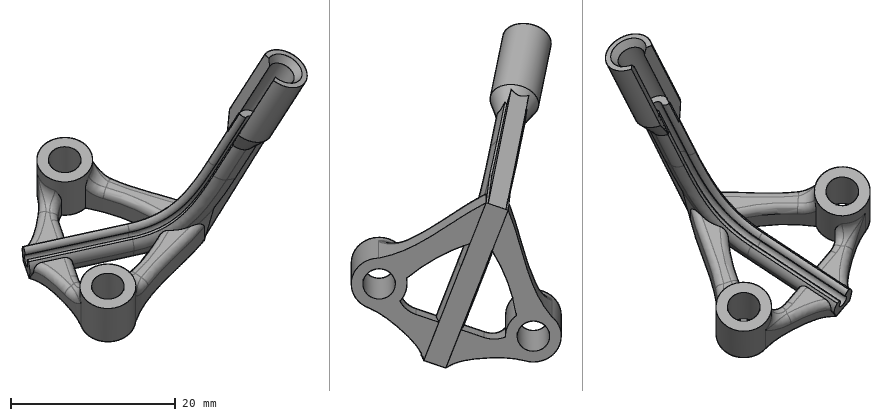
import cadquery as cq
import math

boss_spacing = 20.0
boss_diameter = 6.8
boss_hole_diameter = 3.95
boss_height = 6.75
front_leg_height = 2.75
rear_leg_height = 3.75
leg_edge_radius = 1.0
boss_flare_radius = 2.0

front_outer_start = (10.3, -3.384)
front_outer_start_direction = (-1, -0.07)
front_outer_points = [(6.57, -4.28), (4.08, -5.4)]
front_outer_end_direction = (-0.55, -0.83)
front_inner_y = -2.22
front_inner_arc_x = 4.4
front_inner_end = (7.0, -1.1)
rear_outer_start = (11.6, 2.95)
rear_outer_points = [(8.33, 5.53), (5.12, 9.57)]
rear_inner_y = 8.8
rear_inner_middle = (4.6, 5.6)
rear_inner_end = (7.4, 1.3)

front_end_y = -7.6
bend_start_y = 5.53
foot_y = 14.5
tilt_angle = 25.0
channel_height = 1.72
channel_diameter = 1.47
channel_slot_width = 0.94
head_radius = 1.79
lip_height = 1.34
head_taper_start = -0.3
head_taper_end = -1.6
keel_width = 2.86
keel_top_y = 15.65
keel_top_z = 5.8
rear_rib_width = 2.3
rib_depth_at_socket = 2.5
bend_start_handle = 6.08
bend_end_handle = 6.45

socket_top_y = 25.04
socket_top_z = 29.23
socket_diameter = 6.0
socket_length = 10.5
cone_length = 2.9
bore_diameter = 3.4
bore_depth = 10.0
bore_mouth_diameter = 4.6
bore_mouth_depth = 1.0
mouth_slot_inner_width = 2.0
mouth_slot_outer_width = 4.08
mouth_slot_outer_height = 2.2
bend_end_to_socket_top = 19.2

tolerance = 0.01
boss_x = boss_spacing / 2
boss_radius = boss_diameter / 2
keel_half = keel_width / 2
rear_rib_half = rear_rib_width / 2
lip_x = math.sqrt(head_radius**2 - lip_height**2)
lip_edge_radius = lip_x - channel_slot_width / 2
tilt = math.radians(tilt_angle)
axis_y = math.sin(tilt)
axis_z = math.cos(tilt)


def socket_axis_point(distance_below_top):
    """Point (y, z) on the tilted socket axis."""
    return (
        socket_top_y - distance_below_top * axis_y,
        socket_top_z - distance_below_top * axis_z,
    )


def socket_plane(distance_below_top):
    """Plane across the socket axis: local +Y points to the open side, local +Z up the axis."""
    y, z = socket_axis_point(distance_below_top)
    return cq.Plane(origin=(0, y, z), xDir=(-1, 0, 0), normal=(0, axis_y, axis_z))


def arm_path():
    """Channel centre line: level run, bend, then a straight run up to the bore floor."""
    start = cq.Vector(0, front_end_y, channel_height)
    bend_start = cq.Vector(0, bend_start_y, channel_height)
    bend_end = cq.Vector(0, *socket_axis_point(bend_end_to_socket_top))
    end = cq.Vector(0, *socket_axis_point(bore_depth))
    handles = [
        bend_start + cq.Vector(0, bend_start_handle, 0),
        bend_end - cq.Vector(0, axis_y, axis_z) * bend_end_handle,
    ]
    bend = cq.Edge.makeBezier([bend_start, *handles, bend_end])
    edges = [cq.Edge.makeLine(start, bend_start), bend, cq.Edge.makeLine(bend_end, end)]
    return cq.Workplane("XY").newObject([cq.Wire.assembleEdges(edges)])


def section_plane():
    """Plane of the front end: local X is +X and local Y is +Z, origin on the channel centre."""
    return cq.Workplane("XZ", origin=(0, front_end_y, channel_height))


def arm_head():
    """Round-topped strip with tapered flanks and a flat top."""
    flank_x = math.sqrt(head_radius**2 - head_taper_start**2)
    section = (
        section_plane()
        .moveTo(-keel_half, head_taper_end)
        .lineTo(-flank_x, head_taper_start)
        .threePointArc((-head_radius, 0), (-lip_x, lip_height))
        .lineTo(lip_x, lip_height)
        .threePointArc((head_radius, 0), (flank_x, head_taper_start))
        .lineTo(keel_half, head_taper_end)
        .close()
    )
    return section.sweep(arm_path(), transition="round")


def web_below_path(rear_points):
    """Side outline of a web: floor, the given rear points (y, z), then back down the centre line."""
    bend_end = socket_axis_point(bend_end_to_socket_top)
    upper_handle = socket_axis_point(bend_end_to_socket_top + bend_end_handle)
    lower_handle = (bend_start_y + bend_start_handle, channel_height)
    bend_start = (bend_start_y, channel_height)
    return (
        cq.Workplane("YZ")
        .polyline([(front_end_y, 0), (foot_y, 0), *rear_points, bend_end])
        .bezier([upper_handle, lower_handle, bend_start], includeCurrent=True)
        .lineTo(front_end_y, channel_height)
        .close()
    )


def keel():
    """Wide web that fills the arm down to the floor, between the legs."""
    return web_below_path([(keel_top_y, keel_top_z)]).extrude(keel_half, both=True)


def rear_rib():
    """Narrower web behind the keel, up to the socket, with a straight sloping rear face."""
    top = socket_axis_point(socket_length)
    rear_top = (top[0] + rib_depth_at_socket * axis_z, top[1] - rib_depth_at_socket * axis_y)
    return web_below_path([rear_top, top]).extrude(rear_rib_half, both=True)


def channel():
    """Round wire channel, swept along the arm, with a narrower slot that opens at the top."""
    groove = section_plane().circle(channel_diameter / 2).sweep(arm_path(), transition="round")
    slot_half = channel_slot_width / 2
    round_bottom = lip_height - lip_edge_radius
    round_top_half = slot_half + lip_edge_radius
    round_middle_half = slot_half + lip_edge_radius * (1 - math.sqrt(0.5))
    round_middle_height = round_bottom + lip_edge_radius * math.sqrt(0.5)
    slot = (
        section_plane()
        .moveTo(-slot_half, 0)
        .lineTo(-slot_half, round_bottom)
        .threePointArc((-round_middle_half, round_middle_height), (-round_top_half, lip_height))
        .lineTo(round_top_half, lip_height)
        .threePointArc((round_middle_half, round_middle_height), (slot_half, round_bottom))
        .lineTo(slot_half, 0)
        .close()
        .sweep(arm_path(), transition="round")
    )
    return groove.union(slot)


def socket():
    """Tube with a cone down to the arm."""
    tube = cq.Workplane(socket_plane(socket_length)).circle(socket_diameter / 2).extrude(socket_length)
    cone = (
        cq.Workplane(socket_plane(socket_length + cone_length))
        .circle(head_radius)
        .workplane(offset=cone_length)
        .circle(socket_diameter / 2)
        .loft()
    )
    return tube.union(cone)


def socket_bore():
    """Blind bore with a chamfered mouth."""
    bore = cq.Workplane(socket_plane(bore_depth)).circle(bore_diameter / 2).extrude(bore_depth)
    mouth = (
        cq.Workplane(socket_plane(bore_mouth_depth))
        .circle(bore_diameter / 2)
        .workplane(offset=bore_mouth_depth)
        .circle(bore_mouth_diameter / 2)
        .loft()
    )
    return bore.union(mouth)


def mouth_slot():
    """Flared slot along the open side of the socket; its floor is level with the arm lips."""
    length = socket_length + cone_length
    inner_half = mouth_slot_inner_width / 2
    outer_half = mouth_slot_outer_width / 2
    flare_slope = (outer_half - inner_half) / (mouth_slot_outer_height - lip_height)
    far_height = socket_diameter
    far_half = inner_half + flare_slope * (far_height - lip_height)
    floor = [(-inner_half, lip_height), (inner_half, lip_height)]
    opening = [(far_half, far_height), (-far_half, far_height)]
    flared = cq.Workplane(socket_plane(length)).polyline(floor + opening).close().extrude(length)
    throat = (
        cq.Workplane(socket_plane(bore_depth))
        .center(0, lip_height / 2)
        .rect(mouth_slot_inner_width, lip_height)
        .extrude(bore_depth)
    )
    return flared.union(throat)


def make_arm():
    """Arm body: head, webs and socket, less the bore, its side slot and the wire channel."""
    body = arm_head().union(keel()).union(rear_rib()).union(socket())
    return body.cut(socket_bore()).cut(mouth_slot()).cut(channel())


def front_leg_outline():
    """Outer side runs tangent off the boss and curves to the arm's front end."""
    return (
        cq.Workplane("XY")
        .moveTo(boss_x, 0)
        .lineTo(*front_outer_start)
        .spline(
            [*front_outer_points, (keel_half, front_end_y)],
            tangents=[front_outer_start_direction, front_outer_end_direction],
            includeCurrent=True,
        )
        .lineTo(keel_half, front_inner_y)
        .lineTo(front_inner_arc_x, front_inner_y)
        .tangentArcPoint(front_inner_end, relative=False)
        .close()
    )


def rear_leg_outline():
    """Outer side curves from the boss to the arm's foot; inner side is one arc."""
    return (
        cq.Workplane("XY")
        .moveTo(boss_x, 0)
        .lineTo(*rear_outer_start)
        .spline([*rear_outer_points, (keel_half, foot_y)], includeCurrent=True)
        .lineTo(keel_half, rear_inner_y)
        .threePointArc(rear_inner_middle, rear_inner_end)
        .close()
    )


def boss_flare(leg_height):
    """Leg-high slab below a concave flare that rises against the boss."""
    outer = boss_radius + boss_flare_radius
    reach = boss_spacing
    flare_top = leg_height + boss_flare_radius
    arc_offset = boss_flare_radius * (1 - math.sqrt(0.5))
    arc_middle = (boss_radius + arc_offset, leg_height + arc_offset)
    profile = (
        cq.Workplane("XZ")
        .lineTo(reach, 0)
        .lineTo(reach, leg_height)
        .lineTo(outer, leg_height)
        .threePointArc(arc_middle, (boss_radius, flare_top))
        .lineTo(0, flare_top)
        .close()
    )
    return profile.revolve(360, (0, 0, 0), (0, 1, 0)).translate((boss_x, 0, 0))


def is_leg_rim(edge, height):
    """True for an upper side edge of a leg: not at the arm, on the boss or where the flare starts."""
    box = edge.BoundingBox()
    middle = edge.positionAt(0.5)
    from_boss = math.hypot(middle.x - boss_x, middle.y)
    above_sides = box.zmin > height - tolerance
    below_flare_top = box.zmin < height + boss_flare_radius - tolerance
    at_arm = middle.x < keel_half + tolerance
    at_boss = abs(from_boss - boss_radius) < tolerance
    level = box.zmax < height + tolerance
    at_flare_start = level and abs(from_boss - boss_radius - boss_flare_radius) < tolerance
    return above_sides and below_flare_top and not (at_arm or at_boss or at_flare_start)


def leg(outline, height):
    """Leg that flares up to the boss, with its upper side edges rounded."""
    body = outline.extrude(height + boss_flare_radius).intersect(boss_flare(height))
    rim = [edge for edge in body.edges().vals() if is_leg_rim(edge, height)]
    return body.newObject(rim).fillet(leg_edge_radius)


def make_bracket():
    """Right bracket body: bored boss with its front and rear legs."""
    boss = cq.Workplane("XY").center(boss_x, 0).circle(boss_radius).extrude(boss_height)
    front_leg = leg(front_leg_outline(), front_leg_height)
    rear_leg = leg(rear_leg_outline(), rear_leg_height)
    hole = cq.Workplane("XY").center(boss_x, 0).circle(boss_hole_diameter / 2).extrude(boss_height)
    return boss.union(front_leg).union(rear_leg).cut(hole)


arm = make_arm()
right_bracket = make_bracket().cut(arm)
left_bracket = right_bracket.mirror("YZ")
result = cq.Compound.makeCompound([arm.val(), *right_bracket.vals(), *left_bracket.vals()])